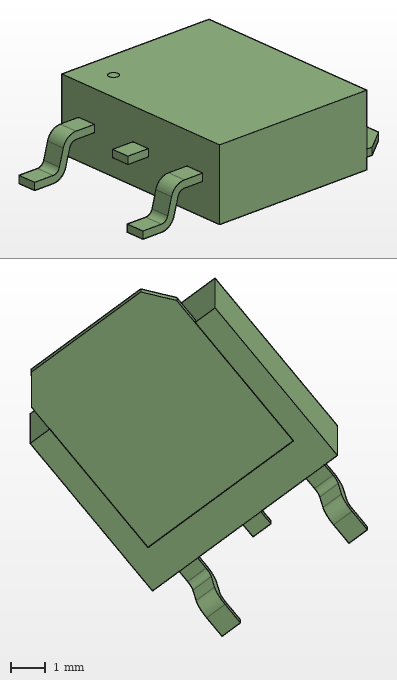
import cadquery as cq
import math

OVERALL_LENGTH = 9.7
OVERALL_HEIGHT = 2.54

HOUSING_WIDTH = 6.705
HOUSING_LENGTH = 5.69
HOUSING_HEIGHT = 2.5
FRONT_Y = -HOUSING_LENGTH / 2

SHEET_THICKNESS = 0.26
LEAD_PITCH = 2.3
LEAD_WIDTH = 0.67
LEAD_TOP_Z = 1.38
LEAD_REACH = 2.31
SHOULDER_LENGTH = 0.71
BEND_INNER_RADIUS = 0.25
BEND_OUTER_RADIUS = BEND_INNER_RADIUS + SHEET_THICKNESS
BEND_ANGLE = math.radians(75)
STUB_WIDTH = 0.65
STUB_REACH = 0.79

TAB_WIDTH = 2 * LEAD_PITCH + LEAD_WIDTH
TAB_BOTTOM_Z = HOUSING_HEIGHT - OVERALL_HEIGHT
TAB_REACH = OVERALL_LENGTH - HOUSING_LENGTH - LEAD_REACH
TAB_FRONT_GAP = 1.13
TAB_LENGTH = HOUSING_LENGTH - TAB_FRONT_GAP + TAB_REACH
TAB_CORNER_X = 0.65
TAB_CORNER_Y = 0.84

MARKER_DIAMETER = 0.34
MARKER_DEPTH = 0.1
MARKER_INSET = 1.045
MARKER_X = -LEAD_PITCH
MARKER_Y = FRONT_Y + MARKER_INSET


def make_tab():
    half_width = TAB_WIDTH / 2
    front_y = FRONT_Y + TAB_FRONT_GAP
    back_y = front_y + TAB_LENGTH
    return (
        cq.Workplane("XY", origin=(0, 0, TAB_BOTTOM_Z))
        .moveTo(-half_width, front_y)
        .lineTo(half_width, front_y)
        .lineTo(half_width, back_y - TAB_CORNER_Y)
        .lineTo(half_width - TAB_CORNER_X, back_y)
        .lineTo(-half_width + TAB_CORNER_X, back_y)
        .lineTo(-half_width, back_y - TAB_CORNER_Y)
        .close()
        .extrude(SHEET_THICKNESS)
    )


def make_marker():
    return (
        cq.Workplane("XY", origin=(MARKER_X, MARKER_Y, HOUSING_HEIGHT - MARKER_DEPTH))
        .circle(MARKER_DIAMETER / 2)
        .extrude(MARKER_DEPTH)
    )


def make_housing(tab, marker):
    block = cq.Workplane("XY").box(
        HOUSING_WIDTH, HOUSING_LENGTH, HOUSING_HEIGHT, centered=(True, True, False)
    )
    return block.cut(tab).cut(marker)


def make_stub():
    return cq.Workplane("XY", origin=(0, FRONT_Y - STUB_REACH, LEAD_TOP_Z - SHEET_THICKNESS)).box(
        STUB_WIDTH, STUB_REACH, SHEET_THICKNESS, centered=(True, False, False)
    )


def make_lead(center_x):
    """Gull-wing lead, drawn in the YZ plane: shoulder, two opposite bends and a flat foot."""
    bend_sine = math.sin(BEND_ANGLE)
    bend_drop = 1 - math.cos(BEND_ANGLE)
    both_radii = BEND_OUTER_RADIUS + BEND_INNER_RADIUS
    slope_drop = LEAD_TOP_Z - SHEET_THICKNESS - both_radii * bend_drop
    bends_run = both_radii * bend_sine + slope_drop / math.tan(BEND_ANGLE)

    shoulder_end_y = FRONT_Y - SHOULDER_LENGTH
    foot_start_y = shoulder_end_y - bends_run
    foot_end_y = FRONT_Y - LEAD_REACH
    upper_center_z = LEAD_TOP_Z - BEND_OUTER_RADIUS
    lower_center_z = BEND_OUTER_RADIUS

    def upper_bend(radius, angle):
        return shoulder_end_y - radius * math.sin(angle), upper_center_z + radius * math.cos(angle)

    def lower_bend(radius, angle):
        return foot_start_y + radius * math.sin(angle), lower_center_z - radius * math.cos(angle)

    outline = (
        cq.Workplane("YZ", origin=(center_x - LEAD_WIDTH / 2, 0, 0))
        .moveTo(FRONT_Y, LEAD_TOP_Z)
        .lineTo(shoulder_end_y, LEAD_TOP_Z)
        .threePointArc(
            upper_bend(BEND_OUTER_RADIUS, BEND_ANGLE / 2), upper_bend(BEND_OUTER_RADIUS, BEND_ANGLE)
        )
        .lineTo(*lower_bend(BEND_INNER_RADIUS, BEND_ANGLE))
        .threePointArc(
            lower_bend(BEND_INNER_RADIUS, BEND_ANGLE / 2), lower_bend(BEND_INNER_RADIUS, 0)
        )
        .lineTo(foot_end_y, SHEET_THICKNESS)
        .lineTo(foot_end_y, 0)
        .lineTo(foot_start_y, 0)
        .threePointArc(
            lower_bend(BEND_OUTER_RADIUS, BEND_ANGLE / 2), lower_bend(BEND_OUTER_RADIUS, BEND_ANGLE)
        )
        .lineTo(*upper_bend(BEND_INNER_RADIUS, BEND_ANGLE))
        .threePointArc(
            upper_bend(BEND_INNER_RADIUS, BEND_ANGLE / 2), upper_bend(BEND_INNER_RADIUS, 0)
        )
        .lineTo(FRONT_Y, LEAD_TOP_Z - SHEET_THICKNESS)
        .close()
    )
    return outline.extrude(LEAD_WIDTH)


tab = make_tab()
marker = make_marker()
housing = make_housing(tab, marker)
stub = make_stub()
leads = [make_lead(side * LEAD_PITCH) for side in (-1, 1)]

result = cq.Compound.makeCompound(
    [housing.val(), tab.val(), marker.val(), stub.val(), *[lead.val() for lead in leads]]
)